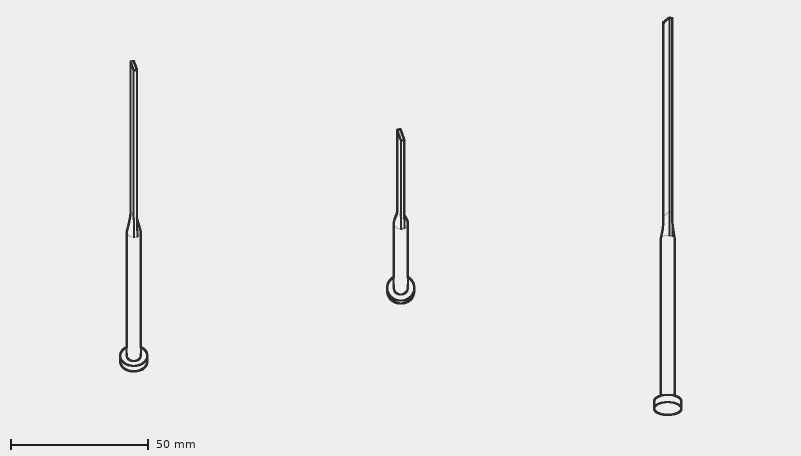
import cadquery as cq
import math

total_length = 160.0
head_diameter = 10.0
head_height = 3.0
shaft_diameter = 5.1
blade_width = 4.5
blade_thickness = 1.3
blade_length = total_length / 2
transition_length = 10.0

blade_start = total_length - blade_length
shaft_end = blade_start - transition_length


def cylinder(diameter, bottom, top):
    return cq.Workplane("XY").workplane(offset=bottom).circle(diameter / 2).extrude(top - bottom)


def make_blade():
    return (
        cq.Workplane("XY")
        .workplane(offset=blade_start)
        .rect(blade_width, blade_thickness)
        .extrude(blade_length)
    )


def make_transition():
    """Blend the round shaft into the flat blade."""
    radius = shaft_diameter / 2
    split_y = blade_thickness / 2
    split_x = math.sqrt(radius**2 - split_y**2)
    return (
        cq.Workplane("XY")
        .workplane(offset=shaft_end)
        .moveTo(split_x, split_y)
        .threePointArc((0, radius), (-split_x, split_y))
        .threePointArc((-radius, 0), (-split_x, -split_y))
        .threePointArc((0, -radius), (split_x, -split_y))
        .threePointArc((radius, 0), (split_x, split_y))
        .close()
        .workplane(offset=transition_length)
        .moveTo(blade_width / 2, blade_thickness / 2)
        .lineTo(-blade_width / 2, blade_thickness / 2)
        .lineTo(-blade_width / 2, -blade_thickness / 2)
        .lineTo(blade_width / 2, -blade_thickness / 2)
        .close()
        .loft(ruled=True)
    )


head = cylinder(head_diameter, 0, head_height)
shaft = cylinder(shaft_diameter, head_height, shaft_end)
result = head.union(shaft).union(make_transition()).union(make_blade())